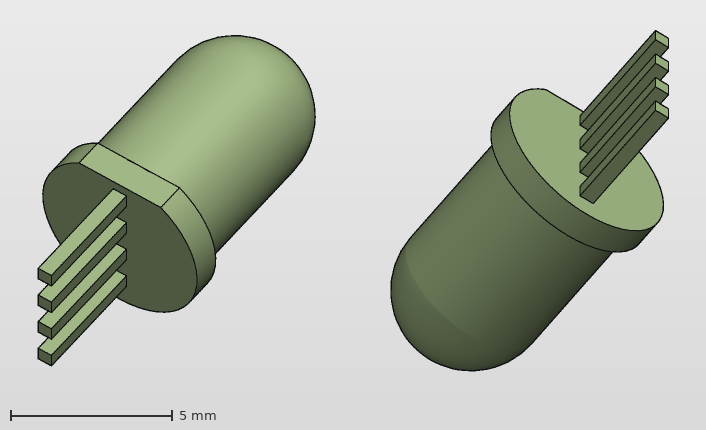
import cadquery as cq

total_length = 12.6
lens_diameter = 5.0
flange_diameter = 5.9
flange_thickness = 1.0
lead_length = 4.0
lead_width = 0.5
lead_pitch = 1.27
lead_count = 4

lens_radius = lens_diameter / 2
flange_radius = flange_diameter / 2
lens_length = total_length - lead_length - flange_thickness
dome_start = lens_length - lens_radius


def make_lens():
    """Cylinder closed by a hemispherical dome, starting on the flange front face."""
    dome_mid = lens_radius * 0.5**0.5
    profile = (
        cq.Workplane("XY")
        .moveTo(0, 0)
        .lineTo(lens_radius, 0)
        .lineTo(lens_radius, dome_start)
        .threePointArc((dome_mid, dome_start + dome_mid), (0, lens_length))
        .close()
    )
    return profile.revolve(360, (0, 0, 0), (0, 1, 0))


def make_flange():
    """Round flange behind the lens, cut flat on top level with the lens."""
    disc = cq.Workplane("XZ").circle(flange_radius).extrude(flange_thickness)
    height_to_flat = flange_radius + lens_radius
    keep = (
        cq.Workplane("XZ")
        .center(0, lens_radius - height_to_flat / 2)
        .rect(flange_diameter, height_to_flat)
        .extrude(flange_thickness)
    )
    return disc.intersect(keep)


def make_leads():
    """Row of square leads along Z, centred on the lens axis."""
    return (
        cq.Workplane("XZ", origin=(0, -flange_thickness, 0))
        .rarray(0.13, lead_pitch, 1, lead_count)
        .rect(lead_width, lead_width)
        .extrude(lead_length)
    )


result = make_lens().union(make_flange()).union(make_leads())